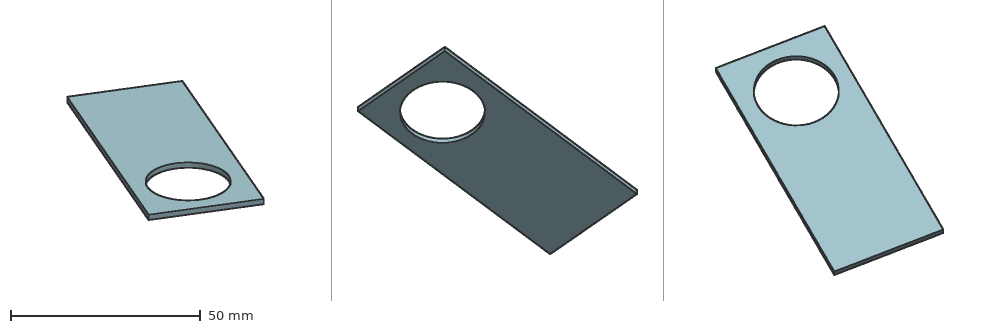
import cadquery as cq

length = 72.9
width = 31.8
thickness = 1.6

hole_diameter = 22.4
hole_inset = 15.75
hole_x = length / 2 - hole_inset
hole_y = -width / 2 + hole_inset

plate = cq.Workplane("XY").box(length, width, thickness)

result = plate.faces(">Z").workplane().center(hole_x, hole_y).hole(hole_diameter)